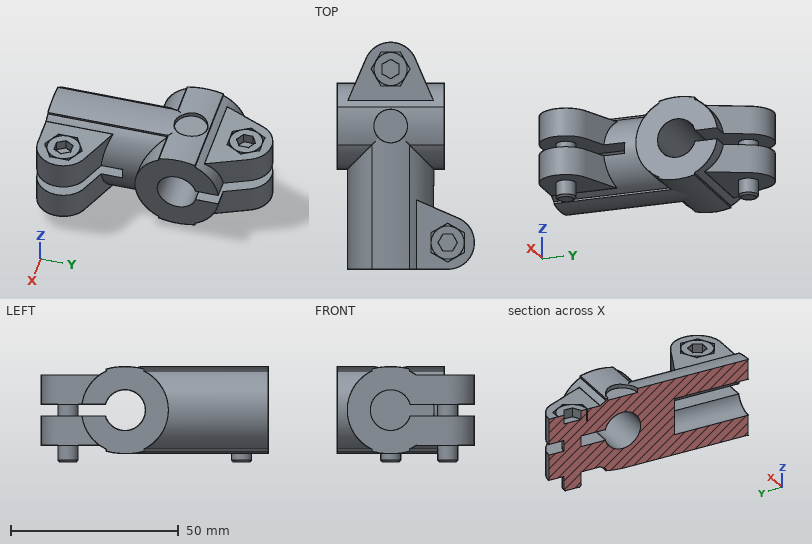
import cadquery as cq
import math

body_radius = 12.95
cap_height = 13.0
cap_half_width = 5.6
cap_edge_height = 12.25
bore_diameter = 12.1
cross_arm_length = 32.0
stem_length = 42.75
stem_bore_depth = 25.1

lug_radius = 8.0
lug_reach = 17.0
lug_root_offset = 7.65
lug_root_half_width = 12.75
lug_half_height = 10.5
slot_width = 3.45

nut_pocket_flats = 10.0
nut_pocket_depth = 4.0
head_diameter = 9.9
socket_flats = 5.0
socket_depth = 3.0
shank_diameter = 6.0
shank_tip_chamfer = 0.6
shank_tip_height = -15.5

recess_diameter = 10.0
recess_floor_height = 11.65

socket_turn = 30

stem_turn = -90
stem_lug_position = stem_length - lug_radius
corner_ratio = 1 / math.cos(math.pi / 6)


def arm_body(start, end):
    """Round bar along X with a shallow raised cap along its top and bottom."""
    length = end - start
    caps = (
        cq.Workplane("YZ", origin=(start, 0, 0))
        .moveTo(-cap_half_width, -cap_edge_height)
        .lineTo(-cap_half_width, cap_edge_height)
        .threePointArc((0, cap_height), (cap_half_width, cap_edge_height))
        .lineTo(cap_half_width, -cap_edge_height)
        .threePointArc((0, -cap_height), (-cap_half_width, -cap_edge_height))
        .close()
        .extrude(length)
    )
    bar = cq.Workplane("YZ", origin=(start, 0, 0)).circle(body_radius).extrude(length)
    return bar.union(caps)


def lug(position, square_end):
    """Lug with a round tip; one flank tapers, the other tapers too or runs straight along the arm end."""
    root_drop = lug_reach - lug_root_offset
    root_distance = math.hypot(lug_root_half_width, root_drop)
    root_angle = math.atan2(-root_drop, lug_root_half_width)
    tangent_angle = root_angle + math.acos(lug_radius / root_distance)
    tangent_x = lug_radius * math.cos(tangent_angle)
    tangent_y = lug_reach + lug_radius * math.sin(tangent_angle)
    if square_end:
        far_root = (lug_radius, lug_root_offset)
        far_tip = (lug_radius, lug_reach)
    else:
        far_root = (lug_root_half_width, lug_root_offset)
        far_tip = (tangent_x, tangent_y)
    return (
        cq.Workplane("XY", origin=(position, 0, -lug_half_height))
        .moveTo(-lug_root_half_width, lug_root_offset)
        .lineTo(*far_root)
        .lineTo(*far_tip)
        .threePointArc((0, lug_reach + lug_radius), (-tangent_x, tangent_y))
        .close()
        .extrude(2 * lug_half_height)
    )


def clamp_cut(position, start, end):
    """Bore, clamping slot and hexagonal nut pocket of one arm."""
    length = end - start
    bore = cq.Workplane("YZ", origin=(start, 0, 0)).circle(bore_diameter / 2).extrude(length)
    slot_reach = lug_reach + lug_radius
    slot = cq.Workplane("XY").box(length, slot_reach, slot_width, centered=(False, False, True))
    pocket = (
        cq.Workplane("XY", origin=(position, lug_reach, lug_half_height))
        .polygon(6, nut_pocket_flats * corner_ratio)
        .extrude(-nut_pocket_depth)
    )
    return bore.union(slot.translate((start, 0, 0))).union(pocket)


def bolt(position):
    """Socket-head bolt with its head flush in the nut pocket and a chamfered tip."""
    shank = (
        cq.Workplane("XY", origin=(position, lug_reach, shank_tip_height))
        .circle(shank_diameter / 2)
        .extrude(lug_half_height - nut_pocket_depth - shank_tip_height)
        .faces("<Z")
        .chamfer(shank_tip_chamfer)
    )
    head = (
        cq.Workplane("XY", origin=(position, lug_reach, lug_half_height))
        .circle(head_diameter / 2)
        .extrude(-nut_pocket_depth)
    )
    socket = (
        cq.Workplane("XY", origin=(position, lug_reach, lug_half_height))
        .transformed(rotate=(0, 0, socket_turn))
        .polygon(6, socket_flats * corner_ratio)
        .extrude(-socket_depth)
    )
    return shank.union(head).cut(socket)


def turn_to_stem(shape):
    """Turn a shape made along +X to its place on the stem along -Y."""
    return shape.rotate((0, 0, 0), (0, 0, 1), stem_turn)


half_cross = cross_arm_length / 2
cross_arm = arm_body(-half_cross, half_cross).union(lug(0, square_end=False))
stem = arm_body(0, stem_length).union(lug(stem_lug_position, square_end=True))
body = cross_arm.union(turn_to_stem(stem))

body = body.cut(clamp_cut(0, -half_cross, half_cross))
body = body.cut(turn_to_stem(clamp_cut(stem_lug_position, stem_length - stem_bore_depth, stem_length)))

recess = (
    cq.Workplane("XY", origin=(0, 0, recess_floor_height))
    .circle(recess_diameter / 2)
    .extrude(cap_height - recess_floor_height)
)
body = body.cut(recess)

result = body.union(bolt(0)).union(turn_to_stem(bolt(stem_lug_position)))